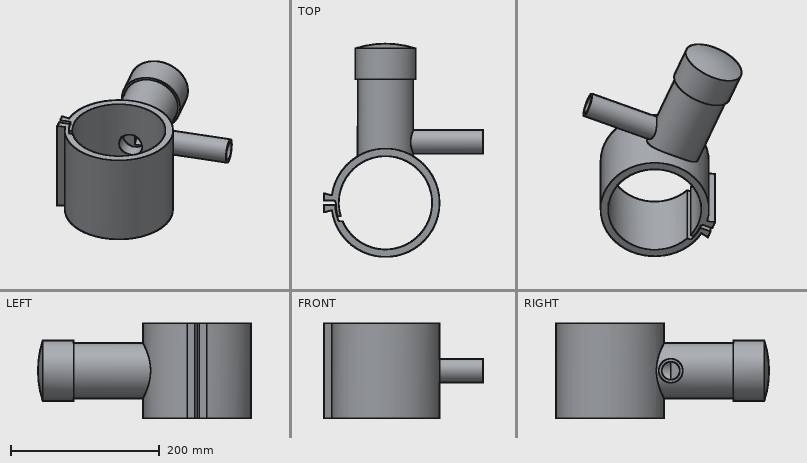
import cadquery as cq
import math

RING_HEIGHT = 128.0
RING_OUTER_R = 73.0
RING_INNER_R = 62.5
BOTTOM_Z = -RING_HEIGHT / 2

LUG_FACE_X = -82.7
LUG_ROOT_X = -71.2
LUG_FACE_HALF_WIDTH = 13.0
LUG_ROOT_HALF_WIDTH = 10.0
SPLIT_HALF_WIDTH = 3.0
SPLIT_CORNER_R = 3.5

TONGUE_OUTER_R = 67.0
TONGUE_TIP_Y = -18.5
RECESS_OUTER_R = 67.5
RECESS_END_Y = -24.7
RECESS_CORNER_R = 2.5

BRANCH_R = 37.5
CAP_R = 40.8
CAP_START_Y = 166.0
CAP_EDGE_Y = 207.5
DOME_TOP_Y = 214.2

SIDE_PIPE_R = 16.0
SIDE_PIPE_Y = 81.8
SIDE_PIPE_END_X = 131.2

ENTRY_BORE_R = 16.0
SIDE_BORE_R = 12.0


def ring_disc(radius):
    """Full-height cylinder on the ring axis."""
    return cq.Workplane("XY").workplane(offset=BOTTOM_Z).circle(radius).extrude(RING_HEIGHT)


def ring_height_box(x_min, x_max, y_min, y_max):
    """Full-height block between two X and two Y positions."""
    return (
        cq.Workplane("XY")
        .box(x_max - x_min, y_max - y_min, RING_HEIGHT, centered=False)
        .translate((x_min, y_min, BOTTOM_Z))
    )


def make_lugs():
    """Flared block that the split divides into two lugs."""
    outline = [
        (LUG_FACE_X, LUG_FACE_HALF_WIDTH),
        (LUG_ROOT_X, LUG_ROOT_HALF_WIDTH),
        (LUG_ROOT_X, -LUG_ROOT_HALF_WIDTH),
        (LUG_FACE_X, -LUG_FACE_HALF_WIDTH),
    ]
    return cq.Workplane("XY").workplane(offset=BOTTOM_Z).polyline(outline).close().extrude(RING_HEIGHT)


def make_branch():
    """Branch pipe, cap and dome, turned about the Y axis."""
    dome_rise = DOME_TOP_Y - CAP_EDGE_Y
    dome_r = (CAP_R**2 + dome_rise**2) / (2 * dome_rise)
    dome_mid_x = CAP_R / 2
    dome_mid_y = DOME_TOP_Y - dome_r + math.sqrt(dome_r**2 - dome_mid_x**2)
    return (
        cq.Workplane("XY")
        .lineTo(BRANCH_R, 0)
        .lineTo(BRANCH_R, CAP_START_Y)
        .lineTo(CAP_R, CAP_START_Y)
        .lineTo(CAP_R, CAP_EDGE_Y)
        .threePointArc((dome_mid_x, dome_mid_y), (0, DOME_TOP_Y))
        .close()
        .revolve(360, (0, 0, 0), (0, 1, 0))
    )


def rod_along_x(radius):
    """Cylinder on the side pipe axis, from the branch axis to the pipe end."""
    return cq.Workplane("YZ").center(SIDE_PIPE_Y, 0).circle(radius).extrude(SIDE_PIPE_END_X)


def make_split():
    """Gap between the lugs, with a rounded corner beside the tongue root."""
    gap = ring_height_box(LUG_FACE_X, -TONGUE_OUTER_R, -SPLIT_HALF_WIDTH, SPLIT_HALF_WIDTH)
    return gap.edges("|Z and >X and >Y").fillet(SPLIT_CORNER_R)


def make_recess():
    """Pocket in the ring wall around the tongue, leaving the tongue standing."""
    pocket = ring_height_box(-RECESS_OUTER_R, 0, RECESS_END_Y, 0).intersect(ring_disc(RECESS_OUTER_R))
    corner = cq.selectors.NearestToPointSelector(
        (-math.sqrt(RECESS_OUTER_R**2 - RECESS_END_Y**2), RECESS_END_Y, 0)
    )
    pocket = pocket.edges("|Z").edges(corner).fillet(RECESS_CORNER_R)
    tongue = ring_height_box(-TONGUE_OUTER_R, 0, TONGUE_TIP_Y, 0).intersect(ring_disc(TONGUE_OUTER_R))
    return pocket.cut(tongue)


def make_entry_bore():
    """Bore along +Y from the ring to the side pipe axis."""
    return cq.Workplane("XZ").circle(ENTRY_BORE_R).extrude(-SIDE_PIPE_Y)


body = (
    ring_disc(RING_OUTER_R)
    .union(make_lugs())
    .union(make_branch())
    .union(rod_along_x(SIDE_PIPE_R))
    .cut(ring_disc(RING_INNER_R))
)
clamp = body.cut(make_split()).cut(make_recess())
result = clamp.cut(make_entry_bore()).cut(rod_along_x(SIDE_BORE_R))